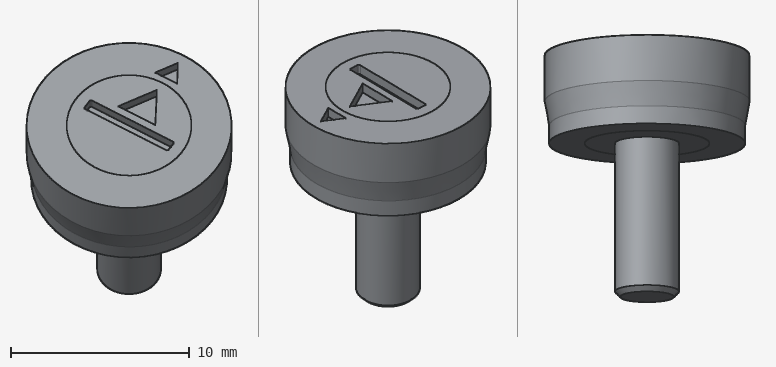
import cadquery as cq
import math

total_height = 13.8

ring_diameter = 11.5
ring_foot_diameter = 11.0
ring_height = 5.02
ring_land_height = 2.61
ring_foot_height = 1.02

dial_diameter = 7.0
pin_diameter = 3.6
pin_chamfer = 0.3

ring_arrow_side = 1.44
ring_arrow_base_y = 3.89
dial_arrow_side = 2.44
dial_arrow_base_y = 0.8
slot_length = 5.55
slot_width = 0.7
slot_corner_radius = 0.1
engraving_depth = 0.61

ring_bottom = total_height - ring_height
ring_foot_top = ring_bottom + ring_foot_height
ring_land_bottom = total_height - ring_land_height
engraving_floor = total_height - engraving_depth
ring_radius = ring_diameter / 2
ring_foot_radius = ring_foot_diameter / 2
dial_radius = dial_diameter / 2
pin_radius = pin_diameter / 2


def arrow_cutter(side, base_y):
    """Equilateral triangular prism pointing along +Y, open at the top face."""
    apex_y = base_y + side * math.sqrt(3) / 2
    corners = [(-side / 2, base_y), (side / 2, base_y), (0, apex_y)]
    floor = cq.Workplane("XY").workplane(offset=engraving_floor)
    return floor.polyline(corners).close().extrude(engraving_depth)


def slot_cutter():
    """Round-cornered screwdriver slot across the centre of the dial."""
    floor = cq.Workplane("XY").workplane(offset=engraving_floor)
    bar = floor.rect(slot_length, slot_width).extrude(engraving_depth)
    return bar.edges("|Z").fillet(slot_corner_radius)


def make_ring():
    """Outer ring with a tapered outside, a straight bore and one arrow."""
    profile = [
        (dial_radius, ring_bottom),
        (ring_foot_radius, ring_bottom),
        (ring_foot_radius, ring_foot_top),
        (ring_radius, ring_land_bottom),
        (ring_radius, total_height),
        (dial_radius, total_height),
    ]
    body = cq.Workplane("XZ").polyline(profile).close().revolve(360, (0, 0), (0, 1))
    return body.cut(arrow_cutter(ring_arrow_side, ring_arrow_base_y))


def make_dial():
    """Rotating dial that fills the ring bore, with its pin, arrow and slot."""
    profile = [
        (0, 0),
        (pin_radius - pin_chamfer, 0),
        (pin_radius, pin_chamfer),
        (pin_radius, ring_bottom),
        (dial_radius, ring_bottom),
        (dial_radius, total_height),
        (0, total_height),
    ]
    body = cq.Workplane("XZ").polyline(profile).close().revolve(360, (0, 0), (0, 1))
    return body.cut(arrow_cutter(dial_arrow_side, dial_arrow_base_y)).cut(slot_cutter())


ring = make_ring()
dial = make_dial()

result = cq.Compound.makeCompound([ring.solids().val(), dial.solids().val()])